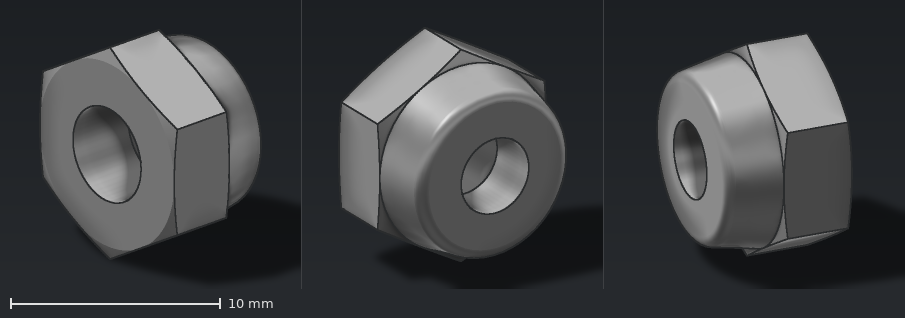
import cadquery as cq
import math

hexagon_sides = 6
across_flats = 9.53
total_height = 6.32
hex_height = 3.56
corner_chamfer_angle = 15.0

collar_taper_angle = 11.0
collar_edge_radius = 0.57

thread_diameter = 4.83
insert_diameter = 3.86

across_corners = across_flats / math.cos(math.pi / hexagon_sides)
flat_radius = across_flats / 2
corner_radius = across_corners / 2
collar_height = total_height - hex_height


def revolve_about_y(profile):
    """Turn a closed (radius, Y) outline into a solid around the Y axis."""
    return profile.revolve(360, (0, 0, 0), (0, 1, 0))


def cylinder_along_y(diameter, start, length):
    """Make a cylinder on the Y axis reaching from start toward +Y."""
    return cq.Workplane("XZ", origin=(0, start, 0)).circle(diameter / 2).extrude(-length)


def make_hexagon():
    """Hexagonal body with conical chamfers on the corners at both ends."""
    prism = (
        cq.Workplane("XZ")
        .transformed(rotate=(0, 0, 90))
        .polygon(hexagon_sides, across_corners)
        .extrude(-hex_height)
    )
    chamfer_depth = (corner_radius - flat_radius) * math.tan(math.radians(corner_chamfer_angle))
    envelope = revolve_about_y(
        cq.Workplane("XY")
        .lineTo(flat_radius, 0)
        .lineTo(corner_radius, chamfer_depth)
        .lineTo(corner_radius, hex_height - chamfer_depth)
        .lineTo(flat_radius, hex_height)
        .lineTo(0, hex_height)
        .close()
    )
    return prism.intersect(envelope)


def make_collar():
    """Tapered collar with a rounded outer rim."""
    rim_radius = flat_radius - collar_height * math.tan(math.radians(collar_taper_angle))
    cone = revolve_about_y(
        cq.Workplane("XY")
        .moveTo(0, hex_height)
        .lineTo(flat_radius, hex_height)
        .lineTo(rim_radius, total_height)
        .lineTo(0, total_height)
        .close()
    )
    return cone.faces(">Y").edges().fillet(collar_edge_radius)


def make_bore():
    """Thread hole through the hexagon, stepping down inside the collar."""
    thread_hole = cylinder_along_y(thread_diameter, 0, hex_height)
    insert_hole = cylinder_along_y(insert_diameter, 0, total_height)
    return thread_hole.union(insert_hole)


result = make_hexagon().union(make_collar()).cut(make_bore())